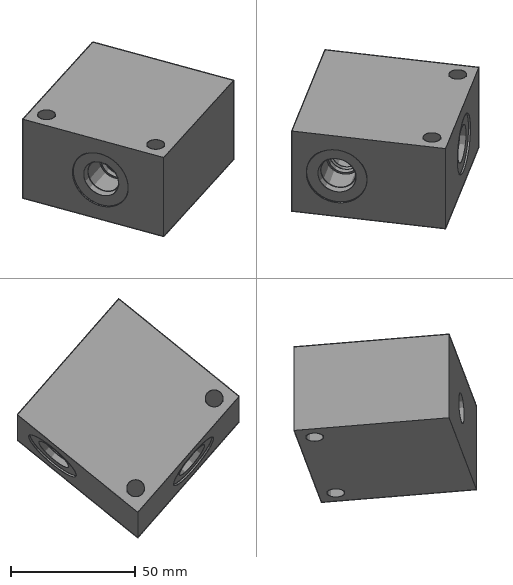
import cadquery as cq
import math

LENGTH = 63.5
WIDTH = 63.5
HEIGHT = 38.1

MOUNT_DIAMETER = 7.1
MOUNT_INSET = 7.2

PORT_1_X = 34.9
PORT_2_Y = 44.95
PORT_Z = HEIGHT / 2

SPOTFACE_DIAMETER = 25.0
SPOTFACE_DEPTH = 0.8
SEAL_DIAMETER = 15.7
SEAL_END_DIAMETER = 14.55
SEAL_DEPTH = 2.55
THREAD_DIAMETER = 14.3
THREAD_DEPTH = 12.7
TAP_DRILL_DIAMETER = 12.9
TAP_DRILL_DEPTH = 15.25
DRILL_POINT_ANGLE = 118.0

PASSAGE_1_DIAMETER = 12.3
PASSAGE_2_DIAMETER = 11.1
PASSAGE_2_OVERRUN = 1.3
PASSAGE_2_DEPTH = PORT_1_X + PASSAGE_1_DIAMETER / 2 + PASSAGE_2_OVERRUN


def drill_point_length(start_diameter, end_diameter=0.0):
    """Axial length of a drill-point cone between two diameters."""
    return (start_diameter - end_diameter) / 2 / math.tan(math.radians(DRILL_POINT_ANGLE / 2))


def port_cutter(passage_diameter, passage_depth, pointed):
    """Port cutter revolved about +Y, with its mouth at the origin."""
    seal_end = SPOTFACE_DEPTH + SEAL_DEPTH
    thread_end = SPOTFACE_DEPTH + THREAD_DEPTH
    tap_end = SPOTFACE_DEPTH + TAP_DRILL_DEPTH
    passage_start = tap_end + drill_point_length(TAP_DRILL_DIAMETER, passage_diameter)
    tip_length = drill_point_length(passage_diameter) if pointed else 0.0
    profile = [
        (0, 0),
        (SPOTFACE_DIAMETER / 2, 0),
        (SPOTFACE_DIAMETER / 2, SPOTFACE_DEPTH),
        (SEAL_DIAMETER / 2, SPOTFACE_DEPTH),
        (SEAL_END_DIAMETER / 2, seal_end),
        (THREAD_DIAMETER / 2, seal_end),
        (THREAD_DIAMETER / 2, thread_end),
        (TAP_DRILL_DIAMETER / 2, thread_end),
        (TAP_DRILL_DIAMETER / 2, tap_end),
        (passage_diameter / 2, passage_start),
        (passage_diameter / 2, passage_depth),
        (0, passage_depth + tip_length),
    ]
    return cq.Workplane("XY").polyline(profile).close().revolve(360, (0, 0, 0), (0, 1, 0))


block = cq.Workplane("XY").box(LENGTH, WIDTH, HEIGHT, centered=False)

mounting_holes = (
    cq.Workplane("XY")
    .pushPoints([(MOUNT_INSET, MOUNT_INSET), (LENGTH - MOUNT_INSET, MOUNT_INSET)])
    .circle(MOUNT_DIAMETER / 2)
    .extrude(HEIGHT)
)

port_1 = port_cutter(PASSAGE_1_DIAMETER, WIDTH, pointed=False).translate((PORT_1_X, 0, PORT_Z))

port_2 = (
    port_cutter(PASSAGE_2_DIAMETER, PASSAGE_2_DEPTH, pointed=True)
    .rotate((0, 0, 0), (0, 0, 1), -90)
    .translate((0, PORT_2_Y, PORT_Z))
)

result = block.cut(mounting_holes).cut(port_1).cut(port_2)